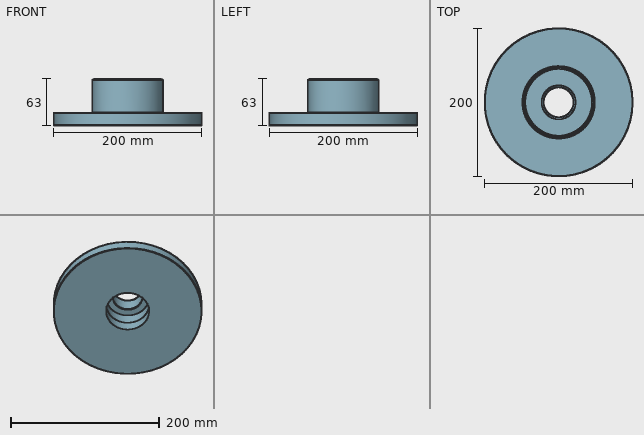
import cadquery as cq

flange_diameter = 200.0
flange_thickness = 17.5
flange_chamfer_width = 0.5
flange_chamfer_height = 1.0
flange_top_chamfer_height = 0.5

total_height = 63.0
hub_diameter = 96.0
hub_foot_diameter = 98.0
hub_foot_height = 0.5
hub_top_diameter = 90.0
hub_shoulder_diameter = 94.2
hub_shoulder_drop = 0.8
hub_crown_height = 1.8

bore_diameter = 40.0
bore_mouth_diameter = 46.0
bore_mouth_depth = 3.0
relief_diameter = 40.2
relief_start_z = 38.0
counterbore_diameter = 58.0
counterbore_top_z = 36.0


def revolve_profile(points):
    """Turn a closed (radius, height) profile around the Z axis."""
    return cq.Workplane("XZ").polyline(points).close().revolve(360, (0, 0), (0, 1))


def make_flange():
    """Disc with bevelled rims and a clear central hole."""
    outer = flange_diameter / 2
    rim = outer - flange_chamfer_width
    inner = counterbore_diameter / 2
    return revolve_profile([
        (inner, 0),
        (rim, 0),
        (outer, flange_chamfer_height),
        (outer, flange_thickness - flange_top_chamfer_height),
        (rim, flange_thickness),
        (inner, flange_thickness),
    ])


def make_hub():
    """Hub with a flared foot, a two-step crown and a stepped bore."""
    outer = hub_diameter / 2
    bore = bore_diameter / 2
    relief = relief_diameter / 2
    counterbore = counterbore_diameter / 2
    return revolve_profile([
        (counterbore, flange_thickness),
        (hub_foot_diameter / 2, flange_thickness),
        (outer, flange_thickness + hub_foot_height),
        (outer, total_height - hub_crown_height),
        (hub_shoulder_diameter / 2, total_height - hub_shoulder_drop),
        (hub_top_diameter / 2, total_height),
        (bore_mouth_diameter / 2, total_height),
        (bore, total_height - bore_mouth_depth),
        (bore, relief_start_z),
        (relief, relief_start_z),
        (relief, counterbore_top_z),
        (counterbore, counterbore_top_z),
    ])


flange = make_flange()
hub = make_hub()
result = cq.Compound.makeCompound([flange.val(), hub.val()])